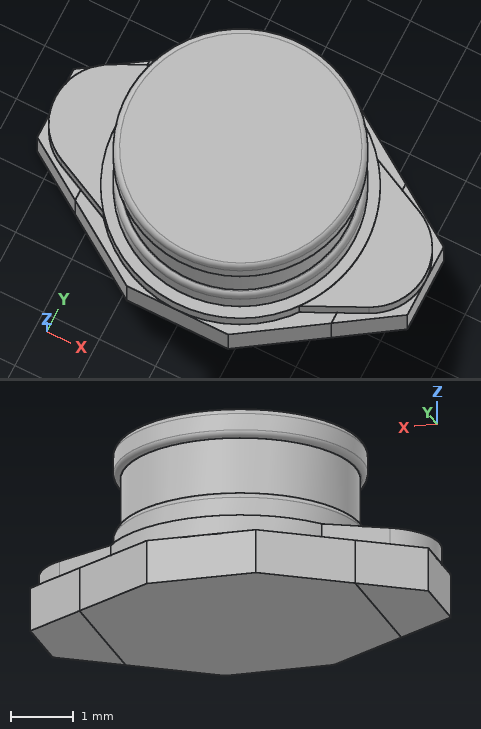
import cadquery as cq
import math

length = 6.6
width = 4.45
half_length = length / 2
half_width = width / 2

base_top = 0.725
plate_top = 1.035
height = 2.93
flange_height = 0.475
lower_flange_top = plate_top + flange_height
upper_flange_bottom = height - flange_height

base_long_edge = 1.81
base_end_edge = 1.28
terminal_inner_x = 2.285

flange_radius = 2.025
flange_fillet = 0.1
winding_radius = 1.91
disc_radius = half_width

tip_radius = 0.995
tip_center_x = half_length - tip_radius


def cylinder(radius, bottom, top):
    """Upright cylinder on the Z axis."""
    return cq.Workplane("XY").workplane(offset=bottom).circle(radius).extrude(top - bottom)


def octagon_block():
    """Full octagonal footprint of the base and terminals together."""
    long_x = base_long_edge / 2
    end_y = base_end_edge / 2
    outline = [
        (-half_length, -end_y), (-long_x, -half_width), (long_x, -half_width), (half_length, -end_y),
        (half_length, end_y), (long_x, half_width), (-long_x, half_width), (-half_length, end_y),
    ]
    return cq.Workplane("XY").polyline(outline).close().extrude(base_top)


def middle_zone():
    """Box over the stretch of the base between the terminals."""
    return cq.Workplane("XY").box(2 * terminal_inner_x, width, base_top, centered=(True, True, False))


def make_base():
    return octagon_block().intersect(middle_zone())


def make_terminal(side):
    """End piece of the octagon; side is -1 or +1 along X."""
    terminal_length = half_length - terminal_inner_x
    end_zone = (
        cq.Workplane("XY")
        .center(side * (terminal_inner_x + terminal_length / 2), 0)
        .box(terminal_length, width, base_top, centered=(True, True, False))
    )
    return octagon_block().intersect(end_zone)


def make_disc():
    return cylinder(disc_radius, base_top, plate_top)


def make_wing(side):
    """Wing tapering from the disc to a tangent round tip, hollowed to fit the disc."""
    apex_distance = math.hypot(tip_center_x, half_width)
    tangent_angle = math.atan2(half_width, -tip_center_x) - math.acos(tip_radius / apex_distance)
    tangent_x = side * (tip_center_x + tip_radius * math.cos(tangent_angle))
    tangent_y = tip_radius * math.sin(tangent_angle)
    blank = (
        cq.Workplane("XY")
        .workplane(offset=base_top)
        .moveTo(0, -half_width)
        .lineTo(tangent_x, -tangent_y)
        .threePointArc((side * half_length, 0), (tangent_x, tangent_y))
        .lineTo(0, half_width)
        .close()
        .extrude(plate_top - base_top)
    )
    return blank.cut(make_disc())


def make_lower_flange():
    flange = cylinder(flange_radius, plate_top, lower_flange_top)
    return flange.faces(">Z").edges().fillet(flange_fillet)


def make_winding():
    return cylinder(winding_radius, lower_flange_top, upper_flange_bottom)


def make_upper_flange():
    flange = cylinder(flange_radius, upper_flange_bottom, height)
    return flange.faces("<Z or >Z").edges().fillet(flange_fillet)


base = make_base()
disc = make_disc()
lower_flange = make_lower_flange()
winding = make_winding()
upper_flange = make_upper_flange()

terminals = []
wings = []
for side in (-1, 1):
    terminals.append(make_terminal(side).val())
    wings.append(make_wing(side).val())

result = cq.Compound.makeCompound([
    base.val(),
    *terminals,
    disc.val(),
    *wings,
    lower_flange.val(),
    winding.val(),
    upper_flange.val(),
])